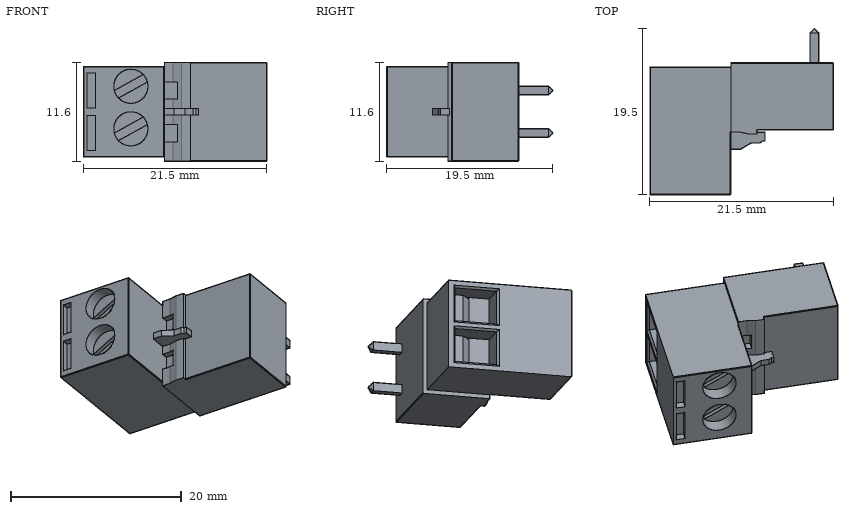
import cadquery as cq


total_length = 21.5
total_depth = 19.5
edge_chamfer = 0.09
pole_pitch = 4.99
pole_heights = [-pole_pitch / 2, pole_pitch / 2]

plug_length = 9.45
plug_depth = 14.99
plug_height = 10.65
square_end_length = 0.22

socket_height = 11.6
socket_front = 7.61
socket_overhang = 0.52
socket_back = plug_depth + socket_overhang

lip_end = 12.51
lip_low_front = 7.37
lip_high_front = 7.15
lip_ramp_start = 10.5
lip_ramp_end = 11.44
lip_overlap = 0.85
lip_root = socket_front + lip_overlap

notch_length = 1.55
notch_height = 2.05
notch_depth = 1.0

latch_thickness = 0.8
latch_front = 5.35
latch_arm_front = 6.08
latch_tip_front = 6.3
latch_slope_start = 10.6
latch_slope_end = 11.85
latch_tip_slope_start = 12.84
latch_tip_slope_end = 13.15
latch_end = 13.45

entry_y_min = 8.82
entry_y_max = 14.35
entry_height = 4.52
entry_bevel_depth = 0.25
bore_y_min = 9.12
bore_y_max = 14.13
bore_height = 4.02
bore_depth = 3.5

clamp_front_x = 2.5
clamp_y_max = 13.89
clamp_y_edge = 12.58
clamp_y_min = clamp_y_edge - (bore_depth - clamp_front_x)
clamp_height = 3.76

probe_start = 0.37
probe_width = 1.03
probe_height = 4.06
probe_depth = 0.84

screw_x = 5.53
screw_offset = 0.5
screw_diameter = 4.0
screw_well_depth = 1.6
drive_slot_width = 1.0
drive_slot_depth = 0.5
drive_slot_angle = 29.0

pin_x = 19.25
pin_width = 1.03
pin_tip_length = pin_width / 2
pin_embed = 0.43


def block(x_range, y_range, height, z_middle=0.0):
    """Box over the given X and Y ranges, centred in height on z_middle."""
    x_size = x_range[1] - x_range[0]
    y_size = y_range[1] - y_range[0]
    return (
        cq.Workplane("XY")
        .box(x_size, y_size, height, centered=(False, False, True))
        .translate((x_range[0], y_range[0], z_middle))
    )


def slab(outline, height, z_middle=0.0):
    """XY outline extruded equally up and down from z_middle."""
    return (
        cq.Workplane("XY", origin=(0, 0, z_middle))
        .polyline(outline)
        .close()
        .extrude(height / 2, both=True)
    )


def make_plug():
    plug = block((0, plug_length), (0, plug_depth), plug_height)
    plug = plug.edges(">X or (|X and <Y)").chamfer(edge_chamfer)
    square_end = block(
        (plug_length - square_end_length, plug_length), (lip_low_front, plug_depth), plug_height
    )
    return plug.union(square_end)


def make_socket():
    socket = block((plug_length, total_length), (socket_front, socket_back), socket_height)
    socket = socket.edges(">X or |X").chamfer(edge_chamfer)
    lip = slab(
        [
            (plug_length, lip_root),
            (plug_length, lip_low_front),
            (lip_ramp_start, lip_low_front),
            (lip_ramp_end, lip_high_front),
            (lip_end, lip_high_front),
            (lip_end, lip_root),
        ],
        socket_height,
    )
    socket = socket.union(lip)
    notch_x = (plug_length, plug_length + notch_length)
    notch_y = (lip_high_front, lip_high_front + notch_depth)
    for z in pole_heights:
        socket = socket.cut(block(notch_x, notch_y, notch_height, z))
    return socket


def make_latch():
    return slab(
        [
            (plug_length, lip_low_front),
            (plug_length, latch_front),
            (latch_slope_start, latch_front),
            (latch_slope_end, latch_arm_front),
            (latch_tip_slope_start, latch_arm_front),
            (latch_tip_slope_end, latch_tip_front),
            (latch_end, latch_tip_front),
            (latch_end, lip_low_front),
        ],
        latch_thickness,
    )


def make_wire_entry(z):
    """Bevelled pocket in the -X face, less the clamp block left standing in it."""
    bore_y_middle = (bore_y_min + bore_y_max) / 2
    entry_y_middle = (entry_y_min + entry_y_max) / 2
    bevel = (
        cq.Workplane("YZ", origin=(0, entry_y_middle, z))
        .rect(entry_y_max - entry_y_min, entry_height)
        .workplane(offset=entry_bevel_depth)
        .center(bore_y_middle - entry_y_middle, 0)
        .rect(bore_y_max - bore_y_min, bore_height)
        .loft(ruled=True)
    )
    bore = block((entry_bevel_depth, bore_depth), (bore_y_min, bore_y_max), bore_height, z)
    clamp = slab(
        [
            (bore_depth, clamp_y_max),
            (clamp_front_x, clamp_y_max),
            (clamp_front_x, clamp_y_edge),
            (bore_depth, clamp_y_min),
        ],
        clamp_height,
        z,
    )
    return bevel.union(bore).cut(clamp)


def make_probe_slot(z):
    return block((probe_start, probe_start + probe_width), (0, probe_depth), probe_height, z)


def make_screw_well(z):
    """Round well in the -Y face with a drive slot across the screw head."""
    full_depth = screw_well_depth + drive_slot_depth
    centre = (screw_x, 0, z)
    well = cq.Workplane("XZ", origin=centre).circle(screw_diameter / 2).extrude(-screw_well_depth)
    bar = (
        cq.Workplane("XZ", origin=centre)
        .transformed(rotate=(0, 0, drive_slot_angle))
        .rect(screw_diameter, drive_slot_width)
        .extrude(-full_depth)
    )
    head = cq.Workplane("XZ", origin=centre).circle(screw_diameter / 2).extrude(-full_depth)
    return well.union(bar.intersect(head))


def make_pin(z):
    """Square pin on the +Y side ending in a pyramid."""
    shaft_end = total_depth - pin_tip_length
    half_width = pin_width / 2
    shaft = block(
        (pin_x - half_width, pin_x + half_width), (socket_back - pin_embed, shaft_end), pin_width, z
    )
    tip_across = slab(
        [(pin_x - half_width, shaft_end), (pin_x, total_depth), (pin_x + half_width, shaft_end)],
        pin_width,
        z,
    )
    tip_upright = (
        cq.Workplane("YZ", origin=(pin_x, 0, z))
        .polyline([(shaft_end, -half_width), (total_depth, 0), (shaft_end, half_width)])
        .close()
        .extrude(half_width, both=True)
    )
    return shaft.union(tip_across.intersect(tip_upright))


result = make_plug().union(make_socket()).union(make_latch())
for pole_z in pole_heights:
    result = result.cut(make_wire_entry(pole_z))
    result = result.cut(make_probe_slot(pole_z))
    result = result.cut(make_screw_well(pole_z + screw_offset))
    result = result.union(make_pin(pole_z))